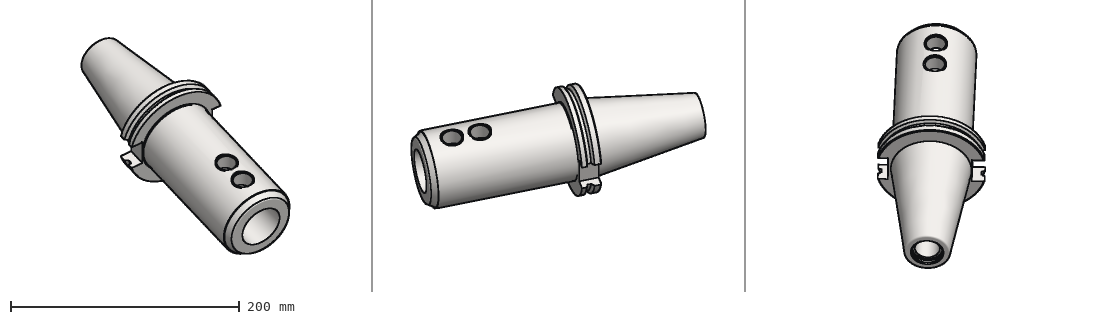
import cadquery as cq
import math

length = 254.0
flange_start = 102.5
flange_end = 120.5
body_diameter = 69.9

taper_ratio = 7 / 24
small_radius = 20.3
small_end_round = 1.8
taper_end_radius = small_radius + flange_start * taper_ratio / 2

flange_diameter = 97.0
flange_chamfer = 0.8
flange_root_fillet = 0.8
groove_floor_radius = 45.5
groove_start = 109.0
groove_floor_start = 111.3
groove_floor_end = 114.5
groove_end = 115.8

slot_width = 25.5
slot_floor_rear = 37.8
slot_floor_front = 35.5

nose_length = 6.9
nose_lead_length = 1.5
nose_lead_drop = 0.3
nose_step_radius = 33.8
nose_round = 1.3
nose_round_radius = 30.2

through_diameter = 21.8
recess_diameter = 26.2
recess_depth = 5.0
recess_mouth_diameter = 26.7
recess_mouth_depth = 3.5
recess_chamfer_diameter = 28.7
shank_bore_diameter = 39.0
shank_bore_depth = 101.5

screw_diameter = 17.3
screw_mouth_diameter = 20.0
screw_mouth_floor = 33.3
screw_positions = (200.0, 225.3)


def cylinder_x(diameter, start, end):
    """Cylinder on the X axis between two stations."""
    return cq.Workplane("YZ", origin=(start, 0, 0)).circle(diameter / 2).extrude(end - start)


def quarter_round_middle(center_x, center_y, radius, direction):
    """Middle point of an outward quarter round; direction is +1 toward +X, -1 toward -X."""
    offset = radius * math.sqrt(0.5)
    return center_x + direction * offset, center_y + offset


def make_body():
    """Taper, shank and nose as one turned profile."""
    body_radius = body_diameter / 2
    nose_start = length - nose_length
    small_round_center = (small_end_round, small_radius - small_end_round)
    nose_round_center = (length - nose_round, nose_round_radius - nose_round)
    profile = (
        cq.Workplane("XY")
        .lineTo(0, small_radius - small_end_round)
        .threePointArc(
            quarter_round_middle(*small_round_center, small_end_round, -1),
            (small_end_round, small_radius),
        )
        .lineTo(flange_start, taper_end_radius)
        .lineTo(flange_end, taper_end_radius)
        .lineTo(flange_end, body_radius + flange_root_fillet)
        .radiusArc((flange_end + flange_root_fillet, body_radius), -flange_root_fillet)
        .lineTo(nose_start - nose_lead_length, body_radius)
        .lineTo(nose_start, body_radius - nose_lead_drop)
        .lineTo(nose_start, nose_step_radius)
        .lineTo(length - nose_round, nose_round_radius)
        .threePointArc(
            quarter_round_middle(*nose_round_center, nose_round, 1),
            (length, nose_round_radius - nose_round),
        )
        .lineTo(length, 0)
        .close()
    )
    return profile.revolve(360, (0, 0, 0), (1, 0, 0))


def make_flange():
    """Flange with a V groove and two driving slots."""
    radius = flange_diameter / 2
    profile = (
        cq.Workplane("XY")
        .moveTo(flange_start, 0)
        .lineTo(flange_start, radius - flange_chamfer)
        .lineTo(flange_start + flange_chamfer, radius)
        .lineTo(groove_start, radius)
        .lineTo(groove_floor_start, groove_floor_radius)
        .lineTo(groove_floor_end, groove_floor_radius)
        .lineTo(groove_end, radius)
        .lineTo(flange_end, radius)
        .lineTo(flange_end, 0)
        .close()
    )
    flange = profile.revolve(360, (0, 0, 0), (1, 0, 0))
    for side, floor in ((1, slot_floor_rear), (-1, slot_floor_front)):
        slot = cq.Workplane("XY").box(length, radius, slot_width)
        slot = slot.translate((flange_start, side * (floor + radius / 2), 0))
        flange = flange.cut(slot)
    return flange


def make_recess():
    """Stepped recess in the small end with a chamfered mouth."""
    mouth_radius = recess_mouth_diameter / 2
    chamfer_radius = recess_chamfer_diameter / 2
    profile = (
        cq.Workplane("XY")
        .lineTo(0, chamfer_radius)
        .lineTo(chamfer_radius - mouth_radius, mouth_radius)
        .lineTo(recess_mouth_depth, mouth_radius)
        .lineTo(recess_mouth_depth, recess_diameter / 2)
        .lineTo(recess_depth, recess_diameter / 2)
        .lineTo(recess_depth, 0)
        .close()
    )
    return profile.revolve(360, (0, 0, 0), (1, 0, 0))


def make_screw_hole(x):
    """Counterbored hole from the top into the shank bore."""
    hole = cq.Workplane("XY", origin=(x, 0, 0)).circle(screw_diameter / 2).extrude(body_diameter / 2)
    mouth = (
        cq.Workplane("XY", origin=(x, 0, screw_mouth_floor))
        .circle(screw_mouth_diameter / 2)
        .extrude(body_diameter / 2 - screw_mouth_floor)
    )
    return hole.union(mouth)


holder = make_body().union(make_flange())
holder = holder.cut(cylinder_x(through_diameter, 0, length))
holder = holder.cut(make_recess())
holder = holder.cut(cylinder_x(shank_bore_diameter, length - shank_bore_depth, length))
for position in screw_positions:
    holder = holder.cut(make_screw_hole(position))

result = holder